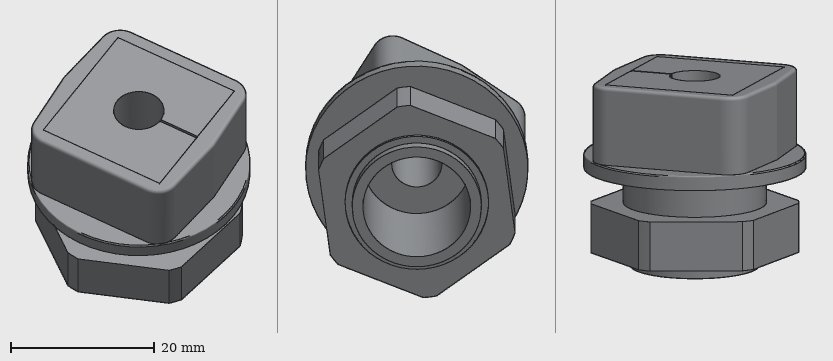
import cadquery as cq
import math

TIP_HEIGHT = 1.5
SLEEVE_BELOW_NUT = 0.5
NUT_HEIGHT = 7.0
SLEEVE_ABOVE_NUT = 5.0
FLANGE_HEIGHT = 2.0
CAP_HEIGHT = 11.0

NUT_BOTTOM = TIP_HEIGHT + SLEEVE_BELOW_NUT
FLANGE_BOTTOM = NUT_BOTTOM + NUT_HEIGHT + SLEEVE_ABOVE_NUT
FLANGE_TOP = FLANGE_BOTTOM + FLANGE_HEIGHT

FLANGE_DIAMETER = 31.0
FLANGE_EDGE_RADIUS = 0.2
SLEEVE_DIAMETER = 20.0
TIP_DIAMETER = 18.0
SLEEVE_BORE_DIAMETER = 15.0

CAP_DEPTH = 24.0
CAP_WIDTH_AT_MIDDLE = 24.55
CAP_WIDTH_AT_ENDS = 22.57
CAP_CORNER_RADIUS = 3.0
CAP_TOP_RADIUS = 0.5

INSERT_WIDTH = 19.0
INSERT_DEPTH = 20.0
INSERT_HEIGHT = CAP_HEIGHT
CABLE_HOLE_DIAMETER = 7.0
SLIT_WIDTH = 0.3

NUT_ACROSS_FLATS = 25.98
NUT_CORNER_DIAMETER = 29.0
NUT_TURN_ANGLE = 21.9


def cylinder(diameter, height, bottom):
    """Upright cylinder on the Z axis."""
    return cq.Workplane("XY").workplane(offset=bottom).circle(diameter / 2).extrude(height)


def make_cap():
    """Six-sided cap with rounded corners and a rounded top edge."""
    middle_x = CAP_WIDTH_AT_MIDDLE / 2
    end_x = CAP_WIDTH_AT_ENDS / 2
    end_y = CAP_DEPTH / 2
    outline = [
        (middle_x, 0),
        (end_x, end_y),
        (-end_x, end_y),
        (-middle_x, 0),
        (-end_x, -end_y),
        (end_x, -end_y),
    ]
    cap = cq.Workplane("XY").workplane(offset=FLANGE_TOP).polyline(outline).close().extrude(CAP_HEIGHT)
    corners = cap.edges("|Z").edges(">Y or <Y")
    return corners.fillet(CAP_CORNER_RADIUS).faces(">Z").edges().fillet(CAP_TOP_RADIUS)


def insert_block():
    """Rectangular block shared by the insert and its pocket."""
    block = cq.Workplane("XY").workplane(offset=FLANGE_TOP)
    return block.rect(INSERT_WIDTH, INSERT_DEPTH).extrude(INSERT_HEIGHT)


def make_housing():
    """Cap, flange, sleeve and tip in one piece, with the insert pocket and sleeve bore."""
    tip = cylinder(TIP_DIAMETER, TIP_HEIGHT, 0)
    sleeve = cylinder(SLEEVE_DIAMETER, FLANGE_BOTTOM - TIP_HEIGHT, TIP_HEIGHT)
    flange = cylinder(FLANGE_DIAMETER, FLANGE_HEIGHT, FLANGE_BOTTOM)
    flange = flange.faces(">Z").edges().fillet(FLANGE_EDGE_RADIUS)
    bore = cylinder(SLEEVE_BORE_DIAMETER, FLANGE_TOP, 0)
    return tip.union(sleeve).union(flange).union(make_cap()).cut(bore).cut(insert_block())


def make_insert():
    """Block with a cable hole and a slit from the hole to its +X side."""
    hole = cylinder(CABLE_HOLE_DIAMETER, INSERT_HEIGHT, FLANGE_TOP)
    slit_length = INSERT_WIDTH / 2
    slit = cq.Workplane("XY").workplane(offset=FLANGE_TOP).center(slit_length / 2, 0)
    slit = slit.rect(slit_length, SLIT_WIDTH).extrude(INSERT_HEIGHT)
    return insert_block().cut(hole).cut(slit)


def make_nut():
    """Hexagon limited by a cylinder at its corners, bored to fit the sleeve."""
    hexagon_diameter = NUT_ACROSS_FLATS / math.cos(math.radians(30))
    hexagon = cq.Workplane("XY").workplane(offset=NUT_BOTTOM).polygon(6, hexagon_diameter)
    hexagon = hexagon.extrude(NUT_HEIGHT).rotate((0, 0, 0), (0, 0, 1), NUT_TURN_ANGLE)
    corner_limit = cylinder(NUT_CORNER_DIAMETER, NUT_HEIGHT, NUT_BOTTOM)
    bore = cylinder(SLEEVE_DIAMETER, NUT_HEIGHT, NUT_BOTTOM)
    return hexagon.intersect(corner_limit).cut(bore)


housing = make_housing()
insert = make_insert()
nut = make_nut()

result = cq.Compound.makeCompound([housing.solids().val(), insert.solids().val(), nut.solids().val()])